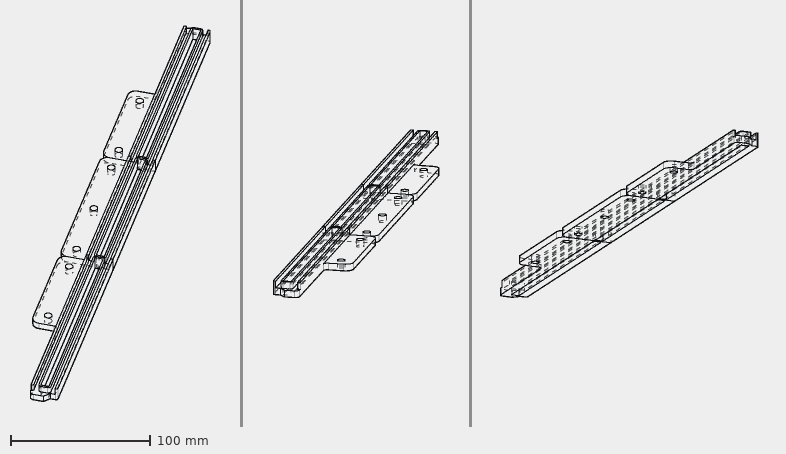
import cadquery as cq

overall_length = 422.5
overall_width = 40.0
overall_height = 10.0
base_height = 5.0

wall_thickness = 2.0
groove_width = 3.5
slot_width = 6.0
ring_thickness = 1.5
ring_width = slot_width + 2 * ring_thickness
rail_width = ring_width + 2 * groove_width + 2 * wall_thickness
rail_x = overall_width - rail_width
right_wall_x = overall_width - wall_thickness
ring_x = rail_x + wall_thickness + groove_width
wall_end_radius = 0.97
ring_corner_radius = 2.0
rail_corner_radius = 1.5

rail_end_y = overall_length / 2
tip_length = 4.2
wall_end_y = rail_end_y - tip_length
middle_length = 114.0
joint_y = middle_length / 2
flange_end_y = 134.0

flange_radius = 6.0
inner_corner_radius = 3.0
tip_radius = 3.0
tip_chamfer_width = 4.0
tip_right_x = ring_x + ring_width

hole_diameter = 5.5
hole_inset = 10.0
hole_x = rail_x / 2


def block(x, y_start, y_end, z, width, height):
    """Box with its lower corner at x, y_start, z."""
    return cq.Workplane("XY").box(width, y_end - y_start, height, centered=False).translate((x, y_start, z))


def round_upright_edge(body, x, y, radius):
    """Round the vertical edge that passes through x, y."""
    edge_point = (x, y, base_height / 2)
    return body.edges("|Z").edges(cq.NearestToPointSelector(edge_point)).fillet(radius)


def add_rail(base, y_start, y_end):
    """Add the two outer walls and the slotted ring between them."""
    upright_height = overall_height - base_height
    ring = block(ring_x, y_start, y_end, base_height, ring_width, upright_height)
    ring = ring.edges("|Z").fillet(ring_corner_radius)
    slot = block(
        ring_x + ring_thickness, y_start + ring_thickness, y_end - ring_thickness, 0, slot_width, overall_height
    )
    left_wall = block(rail_x, y_start, y_end, base_height, wall_thickness, upright_height)
    left_wall = left_wall.edges("|Z").fillet(wall_end_radius)
    right_wall = block(right_wall_x, y_start, y_end, base_height, wall_thickness, upright_height)
    return base.union(left_wall).union(right_wall).union(ring).cut(slot)


def drill_flange(body, hole_positions_y):
    """Drill the screw holes through the flange."""
    centers = [(hole_x, y) for y in hole_positions_y]
    drills = cq.Workplane("XY").pushPoints(centers).circle(hole_diameter / 2).extrude(base_height)
    return body.cut(drills)


def make_middle_rail():
    base = block(0, -joint_y, joint_y, 0, overall_width, base_height)
    base = base.edges("|Z and <X").fillet(flange_radius)
    body = add_rail(base, -joint_y, joint_y)
    outer_hole_y = joint_y - hole_inset
    return drill_flange(body, [-outer_hole_y, 0, outer_hole_y])


def make_end_rail():
    """End rail on the +Y side, with a tip that reaches past the walls."""
    base = (
        cq.Workplane("XY")
        .moveTo(0, joint_y)
        .lineTo(overall_width, joint_y)
        .lineTo(overall_width, wall_end_y)
        .lineTo(tip_right_x, wall_end_y)
        .lineTo(tip_right_x - tip_chamfer_width, rail_end_y)
        .lineTo(rail_x, rail_end_y)
        .lineTo(rail_x, flange_end_y)
        .lineTo(0, flange_end_y)
        .close()
        .extrude(base_height)
    )
    base = base.edges("|Z and <X").fillet(flange_radius)
    base = round_upright_edge(base, rail_x, flange_end_y, inner_corner_radius)
    base = round_upright_edge(base, rail_x, rail_end_y, tip_radius)
    body = add_rail(base, joint_y, wall_end_y)
    body = round_upright_edge(body, overall_width, wall_end_y, rail_corner_radius)
    return drill_flange(body, [joint_y + hole_inset, flange_end_y - hole_inset])


middle_rail = make_middle_rail()
end_rail = make_end_rail()
end_rails = [end_rail, end_rail.mirror("XZ")]

result = cq.Compound.makeCompound([middle_rail.val(), *[rail.val() for rail in end_rails]])